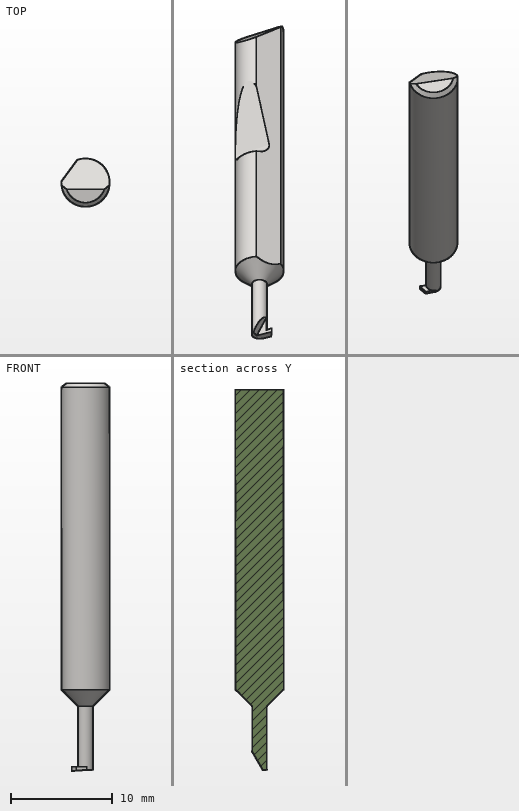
import cadquery as cq
import math

length = 38.1
shank_radius = 2.38
shank_bottom = 8.0
neck_radius = 0.743
neck_top = shank_bottom - (shank_radius - neck_radius)
top_chamfer = 0.42

flat_angle = 143.6
flat_distance = 2.0

bevel_edge_y = -0.65
notch_bottom = 21.07
notch_top = 29.95
notch_floor_y = 1.1
notch_corner_radius = 1.25

hook_reach = 1.37
hook_heel_x = -0.9
hook_height = 0.45
hook_end_x = 0.1

flute_height = 1.95
flute_foot_x = 0.4
relief_slope_x = 0.07
relief_slope_y = -0.06

margin = 3.8


def make_body():
    """Turned shank, cone and neck."""
    return (
        cq.Workplane("XZ")
        .moveTo(0, 0)
        .lineTo(neck_radius, 0)
        .lineTo(neck_radius, neck_top)
        .lineTo(shank_radius, shank_bottom)
        .lineTo(shank_radius, length - top_chamfer)
        .lineTo(shank_radius - top_chamfer, length)
        .lineTo(0, length)
        .close()
        .revolve(360, (0, 0), (0, 1))
    )


def make_flat_cutter():
    """Block beyond the long flat, from the neck end of the cone upwards."""
    height = length - neck_top
    return (
        cq.Workplane("XY")
        .box(margin, 2 * margin, height, centered=(False, True, False))
        .translate((flat_distance, 0, neck_top))
        .rotate((0, 0, 0), (0, 0, 1), flat_angle)
    )


def cut_along_x(profile):
    """Extrude a closed YZ profile right across the shank."""
    return profile.close().extrude(margin, both=True)


def make_bevel_cutter():
    side = 2 * margin
    return cut_along_x(
        cq.Workplane("YZ")
        .moveTo(bevel_edge_y, length)
        .lineTo(bevel_edge_y + side, length)
        .lineTo(bevel_edge_y + side, length - side)
    )


def make_notch_cutter():
    """Sloping notch ending in a round lower corner."""
    floor_z = notch_bottom + notch_corner_radius
    arc_center_y = notch_floor_y + notch_corner_radius
    arc_offset = notch_corner_radius * math.sqrt(0.5)
    return cut_along_x(
        cq.Workplane("YZ")
        .moveTo(shank_radius, notch_top)
        .lineTo(notch_floor_y, floor_z)
        .threePointArc((arc_center_y - arc_offset, floor_z - arc_offset), (arc_center_y, notch_bottom))
        .lineTo(shank_radius + margin, notch_bottom)
        .lineTo(shank_radius + margin, notch_top)
    )


def make_hook():
    """Thin hook reaching out to -X, with the rake face on y = 0."""
    return (
        cq.Workplane("XY")
        .polyline([
            (-hook_reach, 0),
            (hook_heel_x, -neck_radius),
            (hook_end_x, -neck_radius),
            (hook_end_x, 0),
        ])
        .close()
        .extrude(hook_height)
    )


def make_flute_cutter():
    """Wedge behind the rake face; its wall leans out to leave the neck at the flute height."""
    return (
        cq.Workplane("XZ")
        .moveTo(flute_foot_x, 0)
        .lineTo(-neck_radius, flute_height)
        .lineTo(-margin, flute_height)
        .lineTo(-margin, 0)
        .close()
        .extrude(-margin)
    )


def make_relief_cutter():
    """Half-space under the end face, which rises away from the cutting point."""
    end_face = cq.Plane(
        origin=(-hook_reach, 0, 0),
        xDir=(1, 0, relief_slope_x),
        normal=(-relief_slope_x, -relief_slope_y, 1),
    )
    return cq.Workplane(end_face).rect(2 * margin, 2 * margin).extrude(-margin)


result = (
    make_body()
    .cut(make_flat_cutter())
    .cut(make_bevel_cutter())
    .cut(make_notch_cutter())
    .cut(make_flute_cutter())
    .union(make_hook())
    .cut(make_relief_cutter())
)